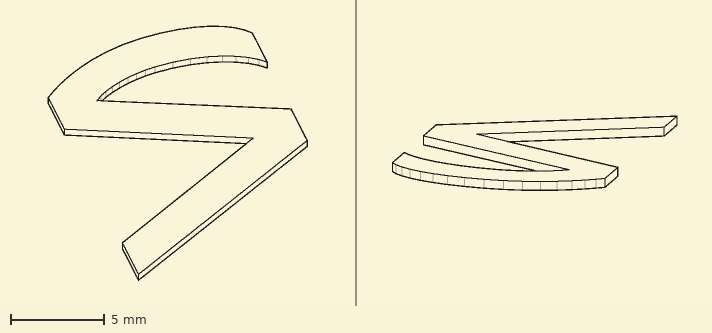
import cadquery as cq


length = 15.37
height = 11.84
thickness = 0.5
foot_width = 2.38
facets_per_curve = 8

left = -length / 2
right = length / 2
top = height / 2
bottom = -height / 2

peak_left = -0.15
peak_right = peak_left + foot_width
right_foot_inner = right - foot_width
middle_foot_right = -3.24
middle_foot_left = middle_foot_right - foot_width
peak_notch = (1.02, 3.28)
tail_notch = (-4.47, -3.55)

outer_tip = (-5.86, top)
outer_upper_pull = (-6.83, 5.23)
outer_middle_y = 0.24
outer_upper_pull_y = 3.29
outer_lower_pull_y = -2.78
outer_lower_pull = (-6.37, -4.98)
outer_foot = (middle_foot_left, bottom)

inner_tip = (-3.66, top)
inner_upper_pull = (-4.56, 5.15)
inner_middle = (-5.54, 0.19)
inner_upper_pull_y = 3.03
inner_lower_pull_y = -1.25
inner_lower_pull = (-5.10, -2.85)


def faceted_curve(start, start_pull, end_pull, end):
    """Points along a cubic Bezier curve, leaving out its start point."""
    points = []
    for step in range(1, facets_per_curve + 1):
        t = step / facets_per_curve
        u = 1 - t
        weights = (u**3, 3 * u**2 * t, 3 * u * t**2, t**3)
        controls = (start, start_pull, end_pull, end)
        x = sum(w * point[0] for w, point in zip(weights, controls))
        y = sum(w * point[1] for w, point in zip(weights, controls))
        points.append((x, y))
    return points


def tail_edge(tip, upper_pull, upper_pull_y, middle, lower_pull_y, lower_pull, end):
    """Edge from the tip down to the end, vertical at its leftmost point."""
    above_middle = (middle[0], upper_pull_y)
    below_middle = (middle[0], lower_pull_y)
    upper_half = faceted_curve(tip, upper_pull, above_middle, middle)
    lower_half = faceted_curve(middle, below_middle, lower_pull, end)
    return [tip] + upper_half + lower_half


outer_edge = tail_edge(
    outer_tip,
    outer_upper_pull,
    outer_upper_pull_y,
    (left, outer_middle_y),
    outer_lower_pull_y,
    outer_lower_pull,
    outer_foot,
)
inner_edge = tail_edge(
    inner_tip,
    inner_upper_pull,
    inner_upper_pull_y,
    inner_middle,
    inner_lower_pull_y,
    inner_lower_pull,
    tail_notch,
)
bars = [
    (middle_foot_right, bottom),
    peak_notch,
    (right_foot_inner, bottom),
    (right, bottom),
    (peak_right, top),
    (peak_left, top),
]

outline = outer_edge + bars + inner_edge[::-1]
result = cq.Workplane("XY").polyline(outline).close().extrude(thickness)